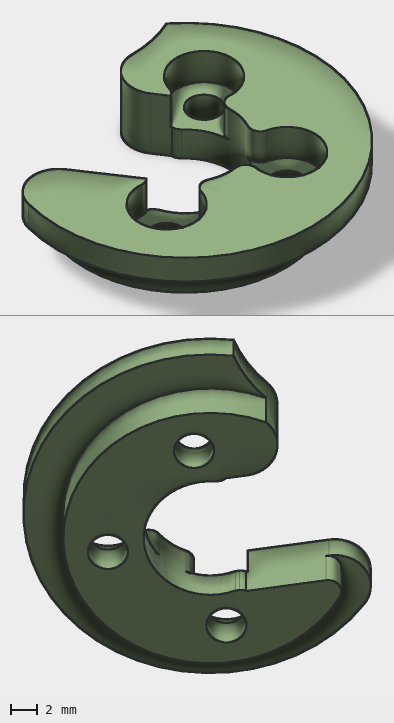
import cadquery as cq
import math

outer_radius = 14.05
boss_radius = 11.04
bore_radius = 5.0
slot_half_width = 5.03
total_height = 5.8
flange_thickness = 2.3
pocket_depth = 3.0

hole_offset = 5.5
hole_diameter = 3.0
pocket_radius = 3.0
pocket_neck_radius = 1.0

tip_x = -12.3
end_radius = 2.72
left_end_along = 3.6
left_end_angle = 188.0
boss_end_radius = 1.0

lip_length = 2.25
lip_half_gap = 4.85
lip_round_radius = 0.8

pocket_floor = total_height - pocket_depth
boss_height = total_height - flange_thickness
cut_margin = 0.28
slot_angle = 225.0
pocket_angles = (45.0, 135.0, -45.0)


def polar(radius, angle, center=(0.0, 0.0)):
    """Point at a radius and an angle in degrees around a centre."""
    turn = math.radians(angle)
    return (center[0] + radius * math.cos(turn), center[1] + radius * math.sin(turn))


def slot_point(along, across):
    """Point given along the slot and across it (positive across is the lower right side)."""
    return polar(across, slot_angle + 90, polar(along, slot_angle))


def cylinder(center, radius, bottom, top):
    return cq.Workplane("XY", origin=(*center, bottom)).circle(radius).extrude(top - bottom)


def wall_end_along(rim_radius, end_round):
    """Distance along the slot of a round tangent to the slot wall and to an outer rim."""
    return math.sqrt((rim_radius - end_round) ** 2 - (slot_half_width + end_round) ** 2)


def plate():
    """Full-height C outline with the bore and slot open."""
    end_across = slot_half_width + end_radius
    lower_along = wall_end_along(outer_radius, end_radius)
    lower_center = slot_point(lower_along, end_across)
    lower_angle = math.degrees(math.atan2(lower_center[1], lower_center[0]))
    left_center = slot_point(left_end_along, -end_across)
    tip = (tip_x, math.sqrt(outer_radius ** 2 - tip_x ** 2))
    flank_start = polar(end_radius, left_end_angle, left_center)
    wall_direction = slot_angle + 90
    left_middle = (left_end_angle + wall_direction) / 2
    lower_middle = (lower_angle + wall_direction - 180 - 360) / 2
    outline = (
        cq.Workplane("XY")
        .moveTo(*tip)
        .threePointArc((outer_radius, 0), polar(outer_radius, lower_angle))
        .threePointArc(
            polar(end_radius, lower_middle, lower_center), slot_point(lower_along, slot_half_width)
        )
        .lineTo(*slot_point(0, slot_half_width))
        .lineTo(*slot_point(0, -slot_half_width))
        .lineTo(*slot_point(left_end_along, -slot_half_width))
        .threePointArc(polar(end_radius, left_middle, left_center), flank_start)
        .tangentArcPoint(tip, relative=False)
        .close()
    )
    bore = cylinder((0, 0), bore_radius, -cut_margin, total_height + cut_margin)
    return outline.extrude(total_height).cut(bore)


def boss_surround():
    """Material to remove below the flange, outside the round boss."""
    blank = cylinder((0, 0), outer_radius + cut_margin, 0, boss_height)
    return blank.cut(cylinder((0, 0), boss_radius, 0, boss_height))


def boss_corner():
    """Sharp corner to remove so the boss ends in a round beside the slot."""
    along = wall_end_along(boss_radius, boss_end_radius)
    center = slot_point(along, slot_half_width + boss_end_radius)
    rim_angle = math.degrees(math.atan2(center[1], center[0]))
    corner = (
        cq.Workplane("XY")
        .moveTo(*center)
        .lineTo(*slot_point(along, slot_half_width))
        .lineTo(*slot_point(boss_radius, slot_half_width))
        .lineTo(*polar(boss_radius + cut_margin, rim_angle))
        .close()
        .extrude(boss_height)
    )
    return corner.cut(cylinder(center, boss_end_radius, 0, boss_height))


def lip(side):
    """Rounded lip below the pocket floor; side is +1 or -1 across the slot."""
    inner = side * lip_half_gap
    outer = side * (slot_half_width + lip_round_radius)
    round_start = lip_length - lip_round_radius
    round_center = slot_point(round_start, inner + side * lip_round_radius)
    middle = polar(lip_round_radius, slot_angle - side * 45, round_center)
    body = (
        cq.Workplane("XY")
        .moveTo(*slot_point(0, outer))
        .lineTo(*slot_point(0, inner))
        .lineTo(*slot_point(round_start, inner))
        .threePointArc(middle, slot_point(lip_length, inner + side * lip_round_radius))
        .lineTo(*slot_point(lip_length, outer))
        .close()
        .extrude(pocket_floor)
    )
    return body.cut(cylinder((0, 0), bore_radius, 0, pocket_floor))


def pocket(angle):
    """Screw-head pocket with a rounded neck opening into the bore, and its through hole."""
    hole_distance = hole_offset * math.sqrt(2)
    center = polar(hole_distance, angle)
    top = total_height + cut_margin
    to_bore = bore_radius + pocket_neck_radius
    to_hole = pocket_radius + pocket_neck_radius
    cosine = (to_bore ** 2 + hole_distance ** 2 - to_hole ** 2) / (2 * to_bore * hole_distance)
    spread = math.degrees(math.acos(cosine))
    neck_centers = [polar(to_bore, angle + turn) for turn in (-spread, spread)]
    neck = (
        cq.Workplane("XY", origin=(0, 0, pocket_floor))
        .polyline([(0, 0), neck_centers[0], center, neck_centers[1]])
        .close()
        .extrude(top - pocket_floor)
    )
    for neck_center in neck_centers:
        neck = neck.cut(cylinder(neck_center, pocket_neck_radius, pocket_floor, top))
    recess = cylinder(center, pocket_radius, pocket_floor, top)
    hole = cylinder(center, hole_diameter / 2, -cut_margin, top)
    return neck.union(recess).union(hole)


result = plate().cut(boss_surround()).cut(boss_corner())
for lip_side in (-1, 1):
    result = result.union(lip(lip_side))
for pocket_angle in pocket_angles:
    result = result.cut(pocket(pocket_angle))